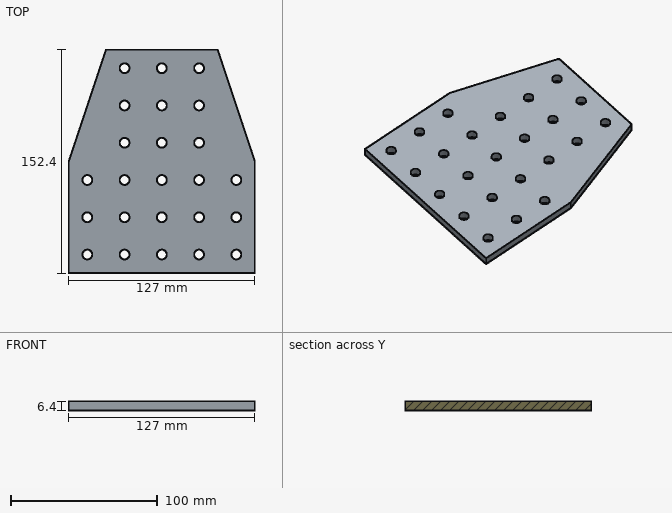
import cadquery as cq

length = 152.4
thickness = 6.4
hole_diameter = 6.5
rows = 6
wide_columns = 5
narrow_columns = 3
wide_rows = 3

pitch = length / rows
half_wide = wide_columns * pitch / 2
half_narrow = narrow_columns * pitch / 2
shoulder_y = wide_rows * pitch


def make_plate():
    """Plate with a rectangular lower half and a tapered upper half."""
    outline = [
        (-half_wide, 0),
        (half_wide, 0),
        (half_wide, shoulder_y),
        (half_narrow, length),
        (-half_narrow, length),
        (-half_wide, shoulder_y),
    ]
    return cq.Workplane("XY").polyline(outline).close().extrude(thickness)


def hole_centers():
    """Hole grid: full rows in the lower half, shorter rows in the taper."""
    centers = []
    for row in range(rows):
        columns = wide_columns if row < wide_rows else narrow_columns
        for column in range(columns):
            x = (column - (columns - 1) / 2) * pitch
            y = (row + 0.5) * pitch
            centers.append((x, y))
    return centers


def make_holes():
    """Cylinders that cut the holes through the full thickness."""
    return (
        cq.Workplane("XY")
        .pushPoints(hole_centers())
        .circle(hole_diameter / 2)
        .extrude(thickness)
    )


result = make_plate().cut(make_holes())